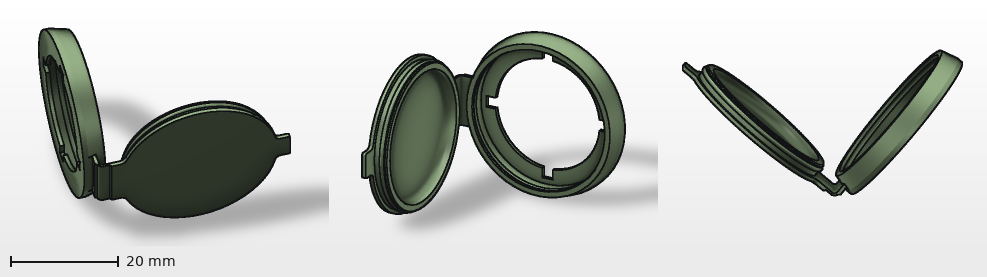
import cadquery as cq
import math

ring_radius = 32.0 / 2
ring_depth = 4.33
ring_band_depth = 1.1
ring_back_radius = 15.15
lip_bore_radius = 11.05
lip_thickness = 0.8
cavity_radius = 28.1 / 2
groove_radius = 28.7 / 2
groove_start = 2.65
groove_end = 3.6
slot_width = 2.22
slot_reach = 12.95
slot_count = 4

lid_center_y = 21.45
lid_radius = 15.05
lid_inner_x = 17.5
lid_thickness = 0.8
lid_outer_x = lid_inner_x + lid_thickness
overall_width = 35.0
dome_x = overall_width - ring_radius
plug_tip_x = 14.95
plug_tip_radius = 28.1 / 2
plug_radius = 28.5 / 2
plug_chamfer_depth = 0.3
bead_radius = 14.55
bead_start_x = 15.5
bead_end_x = 16.45
recess_radius = 25.7 / 2
recess_depth = 2.5
recess_fillet = 1.55

tab_width = 5.0
tab_end_y = 38.98
tab_corner_radius = 0.4
tab_root_fillet = 1.0
hinge_width = 9.98
hinge_root_fillet = 1.55
plate_end_y = 4.68
strap_thickness = 0.43
leg_front_y = 1.75
leg_back_y = 2.55
leg_end_x = 16.88
leg_start_x = 14.42
bend_inner_radius = 0.62
step_run = 0.3


def make_ring_body():
    """Solid of revolution: a short cylindrical band with a tapered back."""
    profile = [
        (0, 0),
        (ring_radius, 0),
        (ring_radius, ring_band_depth),
        (ring_back_radius, ring_depth),
        (0, ring_depth),
    ]
    return cq.Workplane("XY").polyline(profile).close().revolve(360, (0, 0), (0, 1))


def make_hinge_pad():
    """Full-radius part of the ring that carries the hinge leg."""
    disc = cq.Workplane("XZ").circle(ring_radius).extrude(-leg_front_y)
    keep = cq.Workplane("XY").box(
        ring_radius, leg_front_y, hinge_width, centered=(False, False, True)
    )
    return disc.intersect(keep)


def make_ring_bore():
    """Front bore and wider cavity with a rounded groove for the snap bead."""
    groove_crest = (groove_radius, (groove_start + groove_end) / 2)
    return (
        cq.Workplane("XY")
        .lineTo(lip_bore_radius, 0)
        .lineTo(lip_bore_radius, lip_thickness)
        .lineTo(cavity_radius, lip_thickness)
        .lineTo(cavity_radius, groove_start)
        .threePointArc(groove_crest, (cavity_radius, groove_end))
        .lineTo(cavity_radius, ring_depth)
        .lineTo(0, ring_depth)
        .close()
        .revolve(360, (0, 0), (0, 1))
    )


def make_lip_slots():
    """Notches spaced evenly around the front lip."""
    slots = cq.Workplane("XY")
    for index in range(slot_count):
        slot = cq.Workplane("XY").box(
            slot_reach, lip_thickness, slot_width, centered=(False, False, True)
        )
        slots = slots.add(slot.rotate((0, 0, 0), (0, 1, 0), index * 360 / slot_count))
    return slots.combine()


def make_strap():
    """Bent strap joining the ring to the lid plate."""
    strap_outer_x = lid_inner_x + strap_thickness
    bend_x = lid_inner_x - bend_inner_radius
    bend_y = leg_back_y + bend_inner_radius
    bend_outer_radius = bend_inner_radius + strap_thickness
    diagonal = math.sqrt(0.5)
    inner_mid = (bend_x + bend_inner_radius * diagonal, bend_y - bend_inner_radius * diagonal)
    outer_mid = (bend_x + bend_outer_radius * diagonal, bend_y - bend_outer_radius * diagonal)
    leg_step_x = leg_end_x + step_run
    leg_step_y = bend_y - math.sqrt(bend_outer_radius**2 - (leg_step_x - bend_x) ** 2)
    return (
        cq.Workplane("XY")
        .moveTo(leg_start_x, leg_front_y)
        .lineTo(leg_end_x, leg_front_y)
        .lineTo(leg_step_x, leg_step_y)
        .threePointArc(outer_mid, (strap_outer_x, bend_y))
        .lineTo(strap_outer_x, plate_end_y - step_run)
        .lineTo(lid_outer_x, plate_end_y)
        .lineTo(lid_inner_x, plate_end_y)
        .lineTo(lid_inner_x, bend_y)
        .threePointArc(inner_mid, (bend_x, leg_back_y))
        .lineTo(leg_start_x, leg_back_y)
        .close()
        .extrude(hinge_width / 2, both=True)
    )


def fillet_roots(plate, half_width, side, radius):
    """Round the two inside corners where a straight arm leaves the lid disc."""
    corner_y = lid_center_y + side * math.sqrt(lid_radius**2 - half_width**2)
    for corner_z in (-half_width, half_width):
        corner = cq.selectors.NearestToPointSelector(
            (lid_inner_x + lid_thickness / 2, corner_y, corner_z)
        )
        plate = plate.edges("|X").edges(corner).fillet(radius)
    return plate


def make_lid_plate():
    """Flat disc with the pull tab on one side and the hinge arm on the other."""
    plane = cq.Workplane("YZ", origin=(lid_inner_x, 0, 0))
    disc = plane.center(lid_center_y, 0).circle(lid_radius).extrude(lid_thickness)
    tab = (
        cq.Workplane("XY", origin=(lid_inner_x, lid_center_y, 0))
        .box(lid_thickness, tab_end_y - lid_center_y, tab_width, centered=(False, False, True))
        .edges("|X and >Y")
        .fillet(tab_corner_radius)
    )
    arm = cq.Workplane("XY", origin=(lid_inner_x, plate_end_y, 0)).box(
        lid_thickness, lid_center_y - plate_end_y, hinge_width, centered=(False, False, True)
    )
    plate = disc.union(tab).union(arm)
    plate = fillet_roots(plate, tab_width / 2, 1, tab_root_fillet)
    return fillet_roots(plate, hinge_width / 2, -1, hinge_root_fillet)


def revolve_about_lid_axis(profile):
    """Turn a closed profile of (X, radius) about the lid's axis."""
    return profile.close().revolve(360, (0, 0), (1, 0)).translate((0, lid_center_y, 0))


def make_dome():
    """Shallow spherical cap on the outside of the lid."""
    rise = dome_x - lid_outer_x
    sphere_radius = (lid_radius**2 + rise**2) / (2 * rise)
    mid_radius = lid_radius / 2
    mid_x = dome_x - sphere_radius + math.sqrt(sphere_radius**2 - mid_radius**2)
    profile = (
        cq.Workplane("XY")
        .moveTo(lid_outer_x, 0)
        .lineTo(lid_outer_x, lid_radius)
        .threePointArc((mid_x, mid_radius), (dome_x, 0))
    )
    return revolve_about_lid_axis(profile)


def make_plug():
    """Round plug with a chamfered tip and a snap bead."""
    profile = (
        cq.Workplane("XY")
        .moveTo(plug_tip_x, 0)
        .lineTo(plug_tip_x, plug_tip_radius)
        .lineTo(plug_tip_x + plug_chamfer_depth, plug_radius)
        .lineTo(bead_start_x, plug_radius)
        .threePointArc(((bead_start_x + bead_end_x) / 2, bead_radius), (bead_end_x, plug_radius))
        .lineTo(lid_inner_x, plug_radius)
        .lineTo(lid_inner_x, 0)
    )
    return revolve_about_lid_axis(profile)


def make_recess():
    """Round recess in the plug with a filleted floor."""
    return (
        cq.Workplane("YZ", origin=(plug_tip_x, lid_center_y, 0))
        .circle(recess_radius)
        .extrude(recess_depth)
        .faces(">X")
        .edges()
        .fillet(recess_fillet)
    )


ring = make_ring_body().union(make_hinge_pad()).union(make_strap())
ring = ring.cut(make_ring_bore()).cut(make_lip_slots())
lid = make_lid_plate().union(make_dome()).union(make_plug()).cut(make_recess())
result = ring.union(lid)